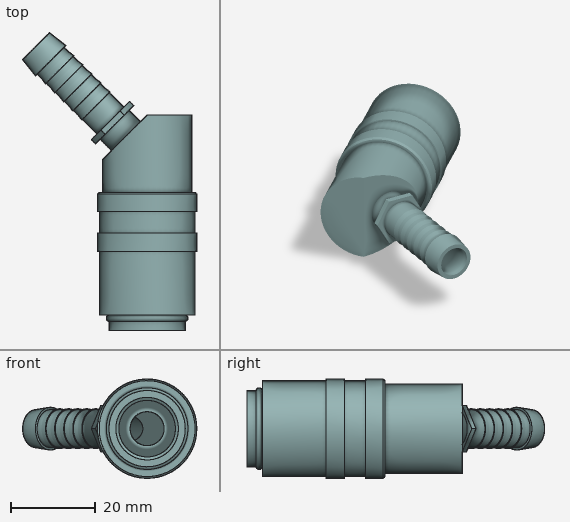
import cadquery as cq
import math

overall_length = 70.3
overall_width = 41.1
lip_radius = 9.0
lip_length = 2.2
bead_radius = 9.6
bead_round = 0.7
sleeve_radius = 11.3
sleeve_start = 3.65
ring_radius = 11.7
lower_ring_start = 18.7
lower_ring_end = 23.05
upper_ring_start = 28.05
upper_ring_end = 32.6
ring_chamfer = 0.4
neck_radius = 10.55
neck_end = 50.9

socket_radius = 6.7
socket_depth = 28.05
socket_chamfer = 0.7
passage_radius = 4.0
passage_end = 46.9

nozzle_angle = 45.0
root_overlap = 0.7
nozzle_bore_radius = 3.5
stem_radius = 4.5
root_radius = 4.85
tip_barb_radius = 5.05
tip_barb_length = 4.85
ridge_radius = 4.7
ridge_count = 5
ridge_start = 6.4
ridge_length = 1.5
ridge_pitch = 3.0
hex_start = 24.8
hex_thickness = 1.4
hex_across_flats = 11.0

slope = math.radians(nozzle_angle)
tip_y = overall_length - stem_radius * math.sin(slope)
tip_x = stem_radius * math.cos(slope) + ring_radius - overall_width
axis_crossing_y = tip_y + tip_x * math.tan(slope)
tip_to_axis = -tip_x / math.cos(slope)
tip_to_face = tip_to_axis - (neck_end - axis_crossing_y) * math.sin(slope)
nozzle_length = tip_to_face + root_overlap
nozzle_direction = cq.Vector(-math.cos(slope), math.sin(slope), 0)


def cylinder_along_y(radius, start, end):
    """Cylinder about the body axis between two Y positions."""
    plane = cq.Plane(origin=(0, start, 0), xDir=(1, 0, 0), normal=(0, 1, 0))
    return cq.Workplane(plane).circle(radius).extrude(end - start)


def make_body():
    body = cylinder_along_y(lip_radius, 0, sleeve_start)
    bead = cylinder_along_y(bead_radius, lip_length, sleeve_start).edges().fillet(bead_round)
    upper_ring = cylinder_along_y(ring_radius, upper_ring_start, upper_ring_end)
    body = body.union(bead)
    body = body.union(cylinder_along_y(sleeve_radius, sleeve_start, upper_ring_end - ring_chamfer))
    body = body.union(cylinder_along_y(ring_radius, lower_ring_start, lower_ring_end))
    body = body.union(upper_ring.faces(">Y").chamfer(ring_chamfer))
    return body.union(make_neck())


def make_neck():
    """Neck whose -X half is sliced square to the nozzle."""
    neck = cylinder_along_y(neck_radius, sleeve_start, neck_end)
    slice_drop = neck_radius * math.tan(slope)
    wedge = (
        cq.Workplane("XY")
        .moveTo(0, neck_end)
        .lineTo(-neck_radius, neck_end)
        .lineTo(-neck_radius, neck_end - slice_drop)
        .close()
        .extrude(neck_radius, both=True)
    )
    return neck.cut(wedge)


def nozzle_plane(distance_from_tip):
    """Plane across the nozzle, facing from the tip towards the body."""
    origin = cq.Vector(tip_x, tip_y, 0) - nozzle_direction * distance_from_tip
    in_plane = (math.sin(slope), math.cos(slope), 0)
    return cq.Plane(origin=origin, xDir=in_plane, normal=-nozzle_direction)


def nozzle_cylinder(radius, start, end):
    return cq.Workplane(nozzle_plane(start)).circle(radius).extrude(end - start)


def barb(large_radius, start, length):
    """Cone growing from the stem to a sharp step."""
    return (
        cq.Workplane(nozzle_plane(start))
        .circle(stem_radius)
        .workplane(offset=length)
        .circle(large_radius)
        .loft()
    )


def make_nozzle():
    nozzle = nozzle_cylinder(stem_radius, 0, nozzle_length)
    nozzle = nozzle.union(barb(tip_barb_radius, 0, tip_barb_length))
    for index in range(ridge_count):
        nozzle = nozzle.union(barb(ridge_radius, ridge_start + index * ridge_pitch, ridge_length))
    hex_corner_diameter = hex_across_flats / math.cos(math.pi / 6)
    hex_collar = (
        cq.Workplane(nozzle_plane(hex_start))
        .polygon(6, hex_corner_diameter)
        .extrude(hex_thickness)
    )
    return nozzle.union(hex_collar).union(nozzle_cylinder(root_radius, hex_start, nozzle_length))


def make_bores():
    socket = cylinder_along_y(socket_radius, 0, socket_depth)
    mouth = (
        cq.Workplane("XZ")
        .circle(socket_radius + socket_chamfer)
        .workplane(offset=-socket_chamfer)
        .circle(socket_radius)
        .loft()
    )
    passage = cylinder_along_y(passage_radius, 0, passage_end)
    nozzle_bore = nozzle_cylinder(nozzle_bore_radius, 0, tip_to_axis)
    return socket.union(mouth).union(passage).union(nozzle_bore)


result = make_body().union(make_nozzle()).cut(make_bores())